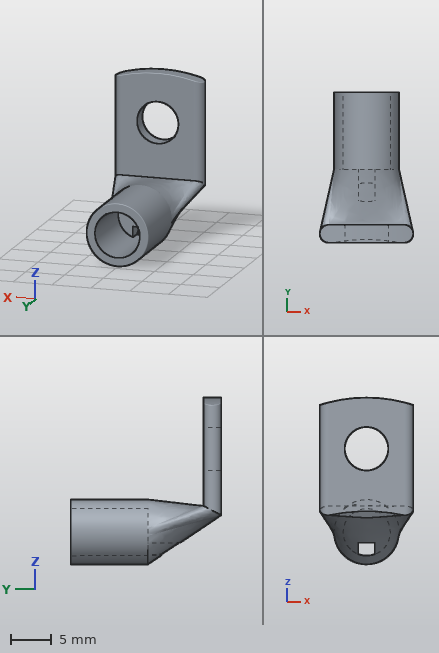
import cadquery as cq
import math


palm_width = 11.5
palm_thickness = 2.21
palm_crown_height = 20.5
crown_rise = 0.92
stud_hole_diameter = 5.3
stud_hole_height = 14.2

joint_front_height = 6.05
joint_back_height = 7.22

overall_depth = 18.5
barrel_length = 9.45
barrel_radius = 4.0
barrel_wall = 1.1

seam_angle = 7.0

hollow_top = 6.54
hollow_bottom = 5.75
hollow_reach = 0.45

edge_softening = 0.1

window_width = 2.0
window_top = 2.65

half_width = palm_width / 2
edge_radius = palm_thickness / 2
flat_half_width = half_width - edge_radius
barrel_start = overall_depth - barrel_length
bore_radius = barrel_radius - barrel_wall
joint_rise = joint_back_height - joint_front_height


def make_palm():
    """Upright palm with round sides, a crowned top and a sloping lower end."""
    shoulder_height = palm_crown_height - crown_rise
    outline = (
        cq.Workplane("XZ")
        .moveTo(-half_width, 0)
        .lineTo(half_width, 0)
        .lineTo(half_width, shoulder_height)
        .threePointArc((0, palm_crown_height), (-half_width, shoulder_height))
        .close()
        .extrude(-palm_thickness)
    )
    rounded = (
        cq.Workplane("XY")
        .center(0, edge_radius)
        .slot2D(palm_width, palm_thickness)
        .extrude(palm_crown_height)
    )
    below_joint = (
        cq.Workplane("YZ")
        .polyline([
            (0, 0),
            (palm_thickness, 0),
            (palm_thickness, joint_back_height),
            (0, joint_front_height),
        ])
        .close()
        .extrude(half_width, both=True)
    )
    return outline.intersect(rounded).cut(below_joint)


def joint_wire():
    """Sloping section of the palm: two straight sides and two elliptical ends."""
    end_half_height = math.hypot(palm_thickness, joint_rise) / 2
    center_height = (joint_front_height + joint_back_height) / 2
    normal = cq.Vector(0, -joint_rise, palm_thickness)
    slope = cq.Vector(0, palm_thickness, joint_rise)

    def corner(x, at_back):
        if at_back:
            return cq.Vector(x, palm_thickness, joint_back_height)
        return cq.Vector(x, 0, joint_front_height)

    def end(side):
        return cq.Edge.makeEllipse(
            end_half_height, edge_radius,
            cq.Vector(side * flat_half_width, edge_radius, center_height),
            normal, slope,
            180 if side > 0 else 0, 360 if side > 0 else 180,
        )

    front = cq.Edge.makeLine(corner(-flat_half_width, False), corner(flat_half_width, False))
    back = cq.Edge.makeLine(corner(flat_half_width, True), corner(-flat_half_width, True))
    return cq.Wire.assembleEdges([front, end(1), back, end(-1)])


def barrel_wire():
    """Barrel circle split into a lower, right, upper and left arc."""
    def point(angle):
        turn = math.radians(angle)
        return cq.Vector(
            barrel_radius * math.cos(turn),
            barrel_start,
            barrel_radius * (1 + math.sin(turn)),
        )

    stops = [seam_angle - 180, -seam_angle, seam_angle, 180 - seam_angle, 180 + seam_angle]
    arcs = [
        cq.Edge.makeThreePointArc(point(a), point((a + b) / 2), point(b))
        for a, b in zip(stops, stops[1:])
    ]
    return cq.Wire.assembleEdges(arcs)


def y_cylinder(radius, start, length):
    """Cylinder on the barrel axis."""
    return (
        cq.Workplane("XZ", origin=(0, start, barrel_radius))
        .circle(radius)
        .extrude(-length)
    )


def make_tip_hollow():
    """Arched cutter, deepest at the middle and vanishing at the palm's round sides."""
    fall = hollow_top - hollow_bottom
    slant = math.hypot(hollow_reach, fall)
    depth = (hollow_top - joint_front_height) * hollow_reach / slant
    section = cq.Plane(
        origin=(0, 0, joint_front_height),
        xDir=(1, 0, 0),
        normal=(0, -hollow_reach, fall),
    )
    return (
        cq.Workplane(section)
        .moveTo(-flat_half_width, 0)
        .threePointArc((0, depth), (flat_half_width, 0))
        .close()
        .extrude(palm_thickness, both=True)
    )


palm = make_palm().faces(">Z").edges().fillet(edge_softening)
neck = cq.Workplane(cq.Solid.makeLoft([joint_wire(), barrel_wire()], True))
barrel = y_cylinder(barrel_radius, barrel_start, barrel_length)
barrel = barrel.faces(">Y").edges().fillet(edge_softening)

stud_hole = (
    cq.Workplane("XZ", origin=(0, 0, stud_hole_height))
    .circle(stud_hole_diameter / 2)
    .extrude(-palm_thickness)
)
bore = y_cylinder(bore_radius, barrel_start, barrel_length)

window = (
    cq.Workplane("XY")
    .box(window_width, barrel_start, window_top, centered=(True, False, False))
    .intersect(y_cylinder(bore_radius, 0, barrel_start))
)

body = palm.union(neck).union(barrel)
result = body.cut(make_tip_hollow()).cut(stud_hole).cut(bore).cut(window)